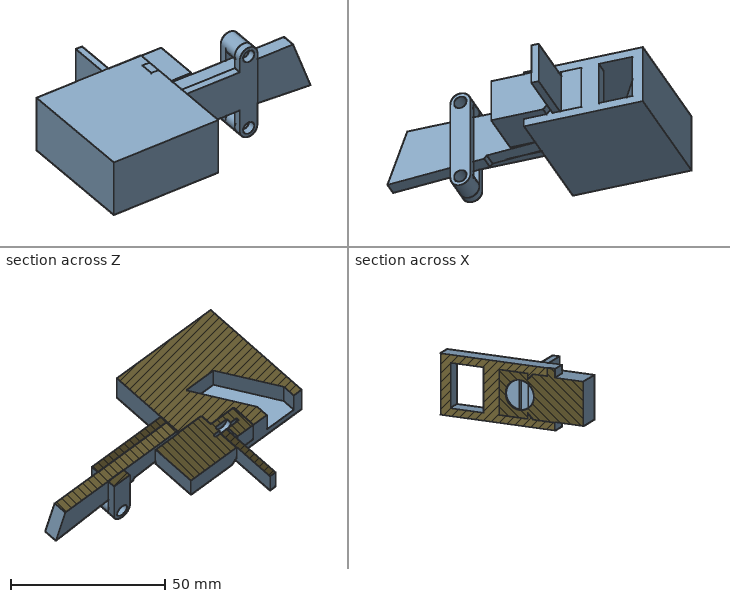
import cadquery as cq
import math


HOUSING_WIDTH = 43.9
HOUSING_DEPTH = 41.3
HOUSING_HEIGHT = 21.0
CAVITY_BOTTOM = 2.8
CAVITY_TOP = 18.0

CHUTE_FRONT = 3.6
CHUTE_BACK = 15.3
CHUTE_STRAIGHT_LENGTH = 4.7
CHUTE_ANGLE = 31.5
CHUTE_END = 25.0

PLUG_LEFT = -3.1
PLUG_RIGHT = 14.0
PLUG_BACK = 51.5
PLUG_CHAMFER = 2.1
FLANGE_FRONT = 21.35
FLANGE_DEPTH = 9.45
KEY_LEFT = 4.9
KEY_WIDTH = 5.1
KEY_LENGTH = 2.8

PLATE_LEFT = -19.1
PLATE_THICKNESS = 2.55
PLATE_TOP = 17.4
SLOT_BACK = 31.4
SLOT_WIDTH = 3.1
SLOT_DEPTH = 4.7
RECESS_Y = 28.5
RECESS_DIAMETER = 10.0
RECESS_DEPTH = 0.9
RECESS_BORE_DIAMETER = 4.9
RECESS_BORE_DEPTH = 2.8

BLADE_THICKNESS = 5.2
BLADE_TIP_Y = 94.5
BLADE_TIP_Z = -1.0
BLADE_TOP_END = 87.6
HEEL_BACK = 60.8
HEEL_BACK_Z = 1.1
HEEL_FRONT = 59.9
HEEL_FRONT_Z = 2.2
BLADE_ROOT_Z = 3.3

CLAMP_LEFT = 11.9
CLAMP_PLATE_THICKNESS = 2.8
CLAMP_DIAMETER = 7.0
CLAMP_HOLE_DIAMETER = 4.3
CLAMP_Y = 68.0
CLAMP_BOTTOM = -9.1
CLAMP_HEIGHT = 35.5

BLADE_LEFT = CLAMP_LEFT + CLAMP_PLATE_THICKNESS
BLADE_RIGHT = BLADE_LEFT + BLADE_THICKNESS
SLOT_FRONT = SLOT_BACK - SLOT_WIDTH
CLAMP_RADIUS = CLAMP_DIAMETER / 2
CLAMP_HOLE_HEIGHTS = (CLAMP_BOTTOM + CLAMP_RADIUS, CLAMP_BOTTOM + CLAMP_HEIGHT - CLAMP_RADIUS)


def box(x_range, y_range, z_range):
    """Box between two corners, each range given as (low, high)."""
    lengths = [high - low for low, high in (x_range, y_range, z_range)]
    corner = (x_range[0], y_range[0], z_range[0])
    return cq.Workplane("XY").box(*lengths, centered=False).translate(corner)


def side_plane(x):
    """Workplane whose local axes are Y and Z, extruding toward +X."""
    return cq.Workplane("YZ", origin=(x, 0, 0))


def make_recess():
    """Space of the stepped round recess in the floor of the slot, along X."""
    middle = (CAVITY_BOTTOM + CAVITY_TOP) / 2
    start = side_plane(SLOT_DEPTH).center(RECESS_Y, middle)
    recess = start.circle(RECESS_DIAMETER / 2).extrude(RECESS_DEPTH)
    bore = start.circle(RECESS_BORE_DIAMETER / 2).extrude(RECESS_BORE_DEPTH)
    return recess.union(bore)


def make_plug():
    """Chamfered block with a key on top and a flange that closes the wall in front of the slot."""
    cavity = (CAVITY_BOTTOM, CAVITY_TOP)
    block = (
        box((PLUG_LEFT, PLUG_RIGHT), (SLOT_BACK, PLUG_BACK), cavity)
        .faces("<Y")
        .edges("<Z or >Z")
        .chamfer(PLUG_CHAMFER)
    )
    key = box(
        (KEY_LEFT, KEY_LEFT + KEY_WIDTH),
        (HOUSING_DEPTH - KEY_LENGTH, HOUSING_DEPTH),
        (CAVITY_TOP, HOUSING_HEIGHT),
    )
    flange = box((0, FLANGE_DEPTH), (FLANGE_FRONT, SLOT_FRONT), cavity)
    slot_floor = box((SLOT_DEPTH, FLANGE_DEPTH), (SLOT_FRONT, SLOT_BACK), cavity)
    return block.union(key).union(flange).union(slot_floor).cut(make_recess())


def make_plate():
    """Upright plate standing in the slot, against the block of the plug."""
    return box(
        (PLATE_LEFT, SLOT_DEPTH),
        (SLOT_BACK - PLATE_THICKNESS, SLOT_BACK),
        (CAVITY_BOTTOM, PLATE_TOP),
    )


def make_chute():
    """Space of the chute: straight through the wall, then slanted toward the back."""
    rise = (CHUTE_END - CHUTE_STRAIGHT_LENGTH) * math.tan(math.radians(CHUTE_ANGLE))
    outline = [
        (0, CHUTE_FRONT),
        (CHUTE_STRAIGHT_LENGTH, CHUTE_FRONT),
        (CHUTE_END, CHUTE_FRONT + rise),
        (CHUTE_END, CHUTE_BACK + rise),
        (CHUTE_STRAIGHT_LENGTH, CHUTE_BACK),
        (0, CHUTE_BACK),
    ]
    floor = cq.Workplane("XY", origin=(0, 0, CAVITY_BOTTOM))
    return floor.polyline(outline).close().extrude(CAVITY_TOP - CAVITY_BOTTOM)


def make_housing(plug):
    """Block with the chute, the plate slot and a recess that matches the plug."""
    slot = box((0, SLOT_DEPTH), (SLOT_FRONT, SLOT_BACK), (CAVITY_BOTTOM, CAVITY_TOP))
    return (
        box((0, HOUSING_WIDTH), (0, HOUSING_DEPTH), (0, HOUSING_HEIGHT))
        .cut(make_chute())
        .cut(slot)
        .cut(plug)
        .cut(make_recess())
    )


def make_blade():
    """Flat blade with a slanted end and a small step in its lower edge, butting on the housing."""
    outline = [
        (HOUSING_DEPTH, CAVITY_TOP),
        (BLADE_TOP_END, CAVITY_TOP),
        (BLADE_TIP_Y, BLADE_TIP_Z),
        (HEEL_BACK, HEEL_BACK_Z),
        (HEEL_FRONT, HEEL_FRONT_Z),
        (HOUSING_DEPTH, BLADE_ROOT_Z),
    ]
    return side_plane(BLADE_LEFT).polyline(outline).close().extrude(BLADE_THICKNESS)


def make_clamp_plate(left, thickness):
    """Upright plate with round ends."""
    middle = CLAMP_BOTTOM + CLAMP_HEIGHT / 2
    return (
        side_plane(left)
        .center(CLAMP_Y, middle)
        .slot2D(CLAMP_HEIGHT, CLAMP_DIAMETER, 90)
        .extrude(thickness)
    )


def cut_clamp_holes(clamp):
    """Clamp part with the two screw holes bored through it along X."""
    centres = [(CLAMP_Y, z) for z in CLAMP_HOLE_HEIGHTS]
    drill = (
        side_plane(CLAMP_LEFT)
        .pushPoints(centres)
        .circle(CLAMP_HOLE_DIAMETER / 2)
        .extrude(BLADE_RIGHT + CLAMP_PLATE_THICKNESS - CLAMP_LEFT)
    )
    return clamp.cut(drill)


def make_left_clamp():
    """Left clamp plate with two round bushings that reach over and under the blade."""
    width = BLADE_RIGHT - CLAMP_LEFT
    opening = box(
        (BLADE_LEFT, BLADE_RIGHT),
        (CLAMP_Y - CLAMP_RADIUS, CLAMP_Y + CLAMP_RADIUS),
        CLAMP_HOLE_HEIGHTS,
    )
    for z in CLAMP_HOLE_HEIGHTS:
        bushing = side_plane(CLAMP_LEFT).center(CLAMP_Y, z).circle(CLAMP_RADIUS).extrude(width)
        opening = opening.cut(bushing)
    return cut_clamp_holes(make_clamp_plate(CLAMP_LEFT, width).cut(opening))


def make_right_clamp():
    """Right clamp plate with an arm that runs along the blade to the housing."""
    arm = box(
        (BLADE_RIGHT, BLADE_RIGHT + CLAMP_PLATE_THICKNESS),
        (HOUSING_DEPTH, CLAMP_Y),
        (CAVITY_BOTTOM, CAVITY_TOP),
    )
    clamp = make_clamp_plate(BLADE_RIGHT, CLAMP_PLATE_THICKNESS).union(arm)
    return cut_clamp_holes(clamp)


plug = make_plug()
plate = make_plate()
housing = make_housing(plug)
blade = make_blade()
left_clamp = make_left_clamp()
right_clamp = make_right_clamp()

result = cq.Compound.makeCompound(
    [
        housing.val(),
        plug.val(),
        plate.val(),
        blade.val(),
        left_clamp.val(),
        right_clamp.val(),
    ]
)